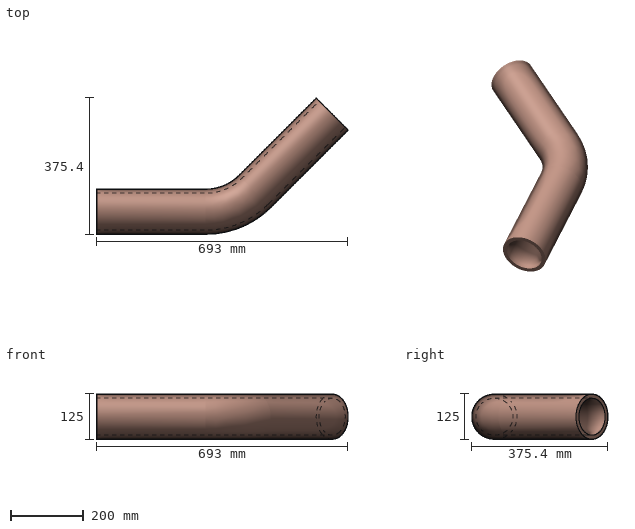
import cadquery as cq
import math

overall_length = 693.0
outer_diameter = 125.0
bore_diameter = 102.0
bend_radius = 190.5
bend_angle = 45.0

outer_radius = outer_diameter / 2
cos_bend = math.cos(math.radians(bend_angle))
sin_bend = math.sin(math.radians(bend_angle))
leg_length = (overall_length - (bend_radius + outer_radius) * sin_bend) / (1 + cos_bend)

bend_end_x = leg_length + bend_radius * sin_bend
bend_end_y = bend_radius * (1 - cos_bend)


def ring(plane):
    """Pipe wall section on the given plane."""
    return cq.Workplane(plane).circle(outer_radius).circle(bore_diameter / 2)


def section_plane(x, y, direction):
    """Plane across the pipe, facing along its centreline."""
    return cq.Plane(origin=(x, y, 0), xDir=(-direction[1], direction[0], 0), normal=direction)


first_leg = ring(section_plane(0, 0, (1, 0, 0))).extrude(leg_length)

bend = ring(section_plane(leg_length, 0, (1, 0, 0))).revolve(
    bend_angle, (bend_radius, 0, 0), (bend_radius, 1, 0)
)

second_leg = ring(section_plane(bend_end_x, bend_end_y, (cos_bend, sin_bend, 0))).extrude(leg_length)

result = first_leg.union(bend).union(second_leg)